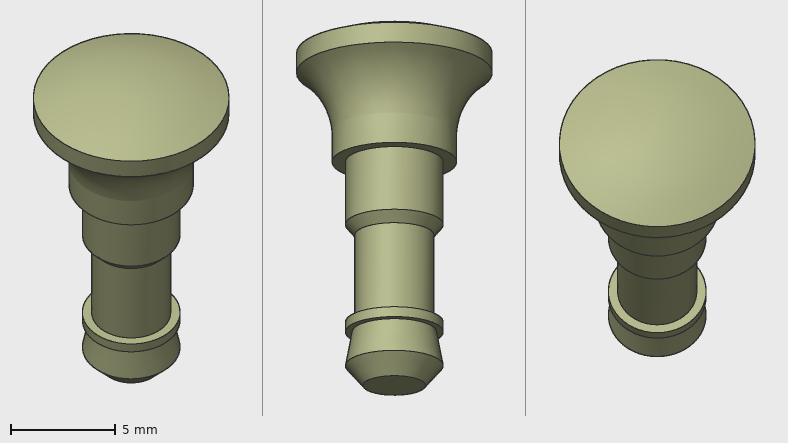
import cadquery as cq

tip_radius = 1.5
body_radius = 2.35
neck_radius = 2.03
shaft_radius = 1.9
collar_radius = 2.99
head_radius = 4.7

tip_cone_top = 1.0
neck_top = 2.7
flange_top = 3.2
shaft_top = 7.6
shoulder_bottom = 8.13
shoulder_top = 11.3
collar_top = 12.8
rim_bottom = 15.8
rim_top = 16.8
total_height = 17.8

flare_mid_radius = 3.38
flare_mid_height = 14.28

dome_height = total_height - rim_top
sphere_radius = (head_radius**2 + dome_height**2) / (2 * dome_height)
dome_mid_radius = head_radius / 2
dome_mid_height = total_height - sphere_radius + (sphere_radius**2 - dome_mid_radius**2) ** 0.5

half_section = (
    cq.Workplane("XZ")
    .lineTo(tip_radius, 0)
    .lineTo(body_radius, tip_cone_top)
    .lineTo(neck_radius, neck_top)
    .lineTo(body_radius, neck_top)
    .lineTo(body_radius, flange_top)
    .lineTo(shaft_radius, flange_top)
    .lineTo(shaft_radius, shaft_top)
    .lineTo(body_radius, shoulder_bottom)
    .lineTo(body_radius, shoulder_top)
    .lineTo(collar_radius, shoulder_top)
    .lineTo(collar_radius, collar_top)
    .threePointArc((flare_mid_radius, flare_mid_height), (head_radius, rim_bottom))
    .lineTo(head_radius, rim_top)
    .threePointArc((dome_mid_radius, dome_mid_height), (0, total_height))
    .close()
)

result = half_section.revolve(360, (0, 0, 0), (0, 1, 0))